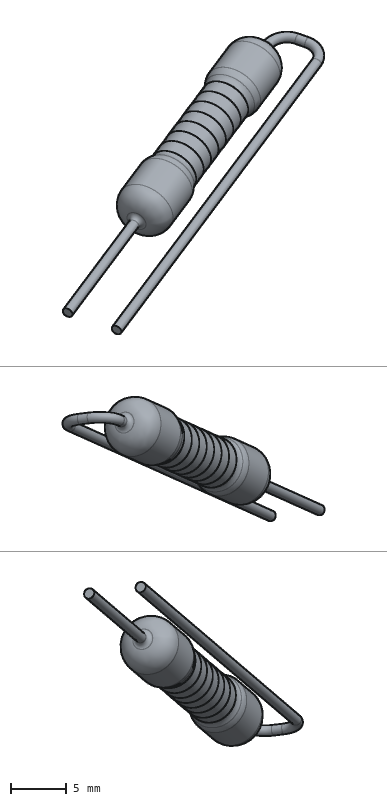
import cadquery as cq
import math

body_length = 25.0
cap_radius = 5.5 / 2
core_radius = 4.67 / 2
band_radius = 4.7 / 2
dome_radius = 1.9
cap_straight_length = 3.85
shoulder_radius = 1.65
band_count = 7

lead_radius = 1.0 / 2
lead_fillet_radius = 0.5
lead_pitch = 5.0
bend_radius = 2.0
stub_length = 0.5
total_length = 42.1

half_body = body_length / 2
cap_outer_y = half_body - dome_radius
cap_inner_y = cap_outer_y - cap_straight_length

shoulder_angle = math.acos(1 - (cap_radius - core_radius) / (2 * shoulder_radius))
shoulder_mid_y = cap_inner_y - shoulder_radius * math.sin(shoulder_angle)
shoulder_mid_radius = (cap_radius + core_radius) / 2
core_end_y = 2 * shoulder_mid_y - cap_inner_y
band_width = 2 * core_end_y / band_count

dome_centre_radius = cap_radius - dome_radius
fillet_centre_radius = lead_radius + lead_fillet_radius
centre_distance = dome_radius + lead_fillet_radius
dome_top_angle = math.acos((fillet_centre_radius - dome_centre_radius) / centre_distance)
fillet_end_y = cap_outer_y + centre_distance * math.sin(dome_top_angle)

bend_start_y = fillet_end_y + stub_length
bend_top_y = bend_start_y + bend_radius
lead_tip_y = bend_top_y + lead_radius - total_length


def arc_point(centre, radius, angle):
    """Point at an angle, measured from the radial direction, on a profile arc."""
    return (centre[0] + radius * math.cos(angle), centre[1] + radius * math.sin(angle))


def make_end_cap():
    """Domed cap at the +Y end, from the core to the start of the bare lead."""
    convex_centre = (cap_radius - shoulder_radius, cap_inner_y)
    concave_centre = (core_radius + shoulder_radius, core_end_y)
    dome_centre = (dome_centre_radius, cap_outer_y)
    fillet_centre = (fillet_centre_radius, fillet_end_y)
    half_shoulder = shoulder_angle / 2
    fillet_mid_angle = math.pi + dome_top_angle / 2
    return (
        cq.Workplane("XY")
        .moveTo(0, core_end_y)
        .lineTo(core_radius, core_end_y)
        .threePointArc(
            arc_point(concave_centre, shoulder_radius, math.pi - half_shoulder),
            (shoulder_mid_radius, shoulder_mid_y),
        )
        .threePointArc(
            arc_point(convex_centre, shoulder_radius, -half_shoulder),
            (cap_radius, cap_inner_y),
        )
        .lineTo(cap_radius, cap_outer_y)
        .threePointArc(
            arc_point(dome_centre, dome_radius, dome_top_angle / 2),
            arc_point(dome_centre, dome_radius, dome_top_angle),
        )
        .threePointArc(
            arc_point(fillet_centre, lead_fillet_radius, fillet_mid_angle),
            (lead_radius, fillet_end_y),
        )
        .lineTo(0, fillet_end_y)
        .close()
        .revolve(360, (0, 0, 0), (0, 1, 0))
    )


def make_band(index):
    """One core band; every second one, from the first, stands very slightly proud."""
    radius = core_radius if index % 2 else band_radius
    start_y = -core_end_y + index * band_width
    return cq.Workplane("XZ", origin=(0, start_y, 0)).circle(radius).extrude(-band_width)


def make_straight_lead():
    """Bare lead leaving the -Y cap."""
    length = -fillet_end_y - lead_tip_y
    return cq.Workplane("XZ", origin=(0, lead_tip_y, 0)).circle(lead_radius).extrude(-length)


def make_bent_lead():
    """Lead leaving the +Y cap, turned back to run alongside the body."""
    bend_reach = bend_radius * math.cos(math.pi / 4)
    bend_inset = bend_radius - bend_reach
    path = (
        cq.Workplane("XY")
        .moveTo(0, fillet_end_y)
        .lineTo(0, bend_start_y)
        .threePointArc((bend_inset, bend_start_y + bend_reach), (bend_radius, bend_top_y))
        .lineTo(lead_pitch - bend_radius, bend_top_y)
        .threePointArc((lead_pitch - bend_inset, bend_start_y + bend_reach), (lead_pitch, bend_start_y))
        .lineTo(lead_pitch, lead_tip_y)
    )
    return cq.Workplane("XZ", origin=(0, fillet_end_y, 0)).circle(lead_radius).sweep(path)


end_cap = make_end_cap()
result = end_cap.union(end_cap.mirror("XZ"))
for band_index in range(band_count):
    result = result.union(make_band(band_index))
result = result.union(make_straight_lead()).union(make_bent_lead())